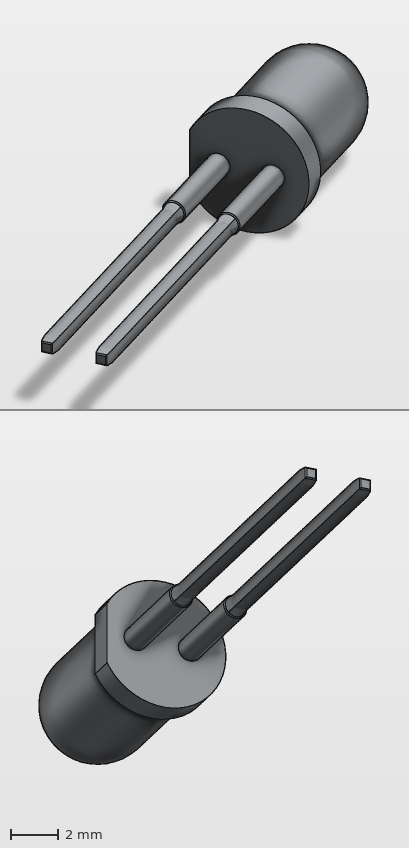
import cadquery as cq
import math

total_length = 26.9

body_height = 9.1
lens_radius = 2.5
flange_diameter = 5.9
flange_radius = flange_diameter / 2
flange_thickness = 1.2
flange_width = 5.55
flat_distance = flange_width - flange_radius

lead_pitch = 2.53
lead_length = total_length - body_height
shank_radius = 0.55
shank_length = 4.65
shank_chamfer = 0.05
square_start = 5.1
square_width = 0.62
tip_length = 0.5
tip_width = 0.5
tip_chamfer = 0.05


def make_lens():
    """Domed lens with a flange that is cut flat on its -X side."""
    dome_base = body_height - lens_radius
    arc_offset = lens_radius * math.sqrt(0.5)
    barrel = (
        cq.Workplane("XY")
        .lineTo(lens_radius, 0)
        .lineTo(lens_radius, dome_base)
        .threePointArc((arc_offset, dome_base + arc_offset), (0, body_height))
        .close()
        .revolve(360, (0, 0, 0), (0, 1, 0))
    )
    flange = cq.Workplane("XZ").circle(flange_radius).extrude(-flange_thickness)
    flat_cutter = (
        cq.Workplane("XY")
        .box(flange_radius, flange_thickness, 2 * flange_radius, centered=(True, False, True))
        .translate((-flat_distance - flange_radius / 2, 0, 0))
    )
    return barrel.union(flange.cut(flat_cutter))


def lead_workplane(distance):
    """Workplane across the lead, facing -Y, at a distance below the seating face."""
    return cq.Workplane("XZ", origin=(0, -distance, 0))


def make_shank():
    """Round upper part of a lead with a chamfered lower rim."""
    return lead_workplane(0).circle(shank_radius).extrude(shank_length).faces("<Y").chamfer(shank_chamfer)


def make_transition():
    """Short loft from the round shank to the square section."""
    return (
        lead_workplane(shank_length)
        .circle(shank_radius - shank_chamfer)
        .workplane(offset=square_start - shank_length)
        .rect(square_width, square_width)
        .loft(ruled=True)
    )


def make_square_section():
    """Long square section below the transition."""
    length = lead_length - tip_length - square_start
    return lead_workplane(square_start).rect(square_width, square_width).extrude(length)


def make_tip():
    """Slightly tapered square tip with a chamfered end."""
    return (
        lead_workplane(lead_length - tip_length)
        .rect(square_width, square_width)
        .workplane(offset=tip_length)
        .rect(tip_width, tip_width)
        .loft(ruled=True)
        .faces("<Y")
        .chamfer(tip_chamfer)
    )


def make_lead(x):
    """One lead, butting against the seating face of the flange."""
    lead = make_shank().union(make_transition()).union(make_square_section()).union(make_tip())
    return lead.translate((x, 0, 0))


lens = make_lens()
leads = [make_lead(side * lead_pitch / 2) for side in (-1, 1)]

result = cq.Compound.makeCompound([lens.val(), *[lead.val() for lead in leads]])